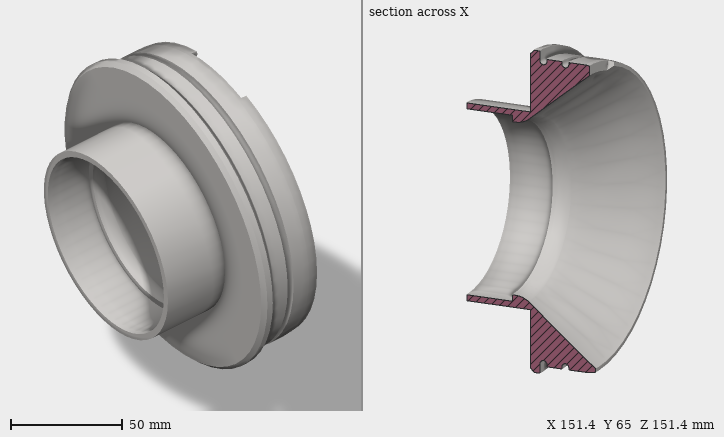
import cadquery as cq
import math

BODY_LENGTH = 33.0
TUBE_LENGTH = 32.0
FLANGE_THICKNESS = 5.0
FLANGE_CHAMFER = 2.0

FLANGE_RADIUS = 151.38 / 2
BODY_RADIUS = 144.38 / 2
TUBE_RADIUS = 93.0 / 2
TUBE_BORE_RADIUS = 87.0 / 2
THROAT_RADIUS = 81.0 / 2
FUNNEL_MOUTH_RADIUS = 69.75

TAPER_LENGTH = 5.0
TAPER_ANGLE = 8.0
TAPER_END_RADIUS = BODY_RADIUS - TAPER_LENGTH * math.tan(math.radians(TAPER_ANGLE))

GROOVE_WIDTH = 3.3
GROOVE_DEPTH = 2.7
GROOVE_PITCH = 11.0
GROOVE_COUNT = 2

SOCKET_DEPTH = 23.0
THROAT_LENGTH = 2.0
FUNNEL_BLEND_RADIUS = 10.0

NOTCH_LENGTH = 3.0
NOTCH_ANGLE = 30.0


def revolve_about_y(profile):
    return profile.close().revolve(360, (0, 0, 0), (0, 1, 0))


def make_outer_body():
    profile = (
        cq.Workplane("XY")
        .moveTo(0, -TUBE_LENGTH)
        .lineTo(TUBE_RADIUS, -TUBE_LENGTH)
        .lineTo(TUBE_RADIUS, 0)
        .lineTo(FLANGE_RADIUS - FLANGE_CHAMFER, 0)
        .lineTo(FLANGE_RADIUS, FLANGE_CHAMFER)
        .lineTo(FLANGE_RADIUS, FLANGE_THICKNESS)
        .lineTo(BODY_RADIUS, FLANGE_THICKNESS)
        .lineTo(BODY_RADIUS, BODY_LENGTH - TAPER_LENGTH)
        .lineTo(TAPER_END_RADIUS, BODY_LENGTH)
        .lineTo(0, BODY_LENGTH)
    )
    return revolve_about_y(profile)


def make_groove(start):
    """Ring cut with a full-round floor, reaching from `start` towards the rear."""
    end = start + GROOVE_WIDTH
    middle = (start + end) / 2
    floor = BODY_RADIUS - GROOVE_DEPTH
    arc_start_radius = floor + GROOVE_WIDTH / 2
    profile = (
        cq.Workplane("XY")
        .moveTo(FLANGE_RADIUS, start)
        .lineTo(arc_start_radius, start)
        .threePointArc((floor, middle), (arc_start_radius, end))
        .lineTo(FLANGE_RADIUS, end)
    )
    return revolve_about_y(profile)


def funnel_half_angle(blend_start):
    """Angle of the cone through the mouth edge that is tangent to the entry blend."""
    radial = THROAT_RADIUS + FUNNEL_BLEND_RADIUS - FUNNEL_MOUTH_RADIUS
    axial = BODY_LENGTH - blend_start
    distance = math.hypot(radial, axial)
    return math.asin(FUNNEL_BLEND_RADIUS / distance) - math.atan2(radial, axial)


def make_bore():
    ledge = SOCKET_DEPTH - TUBE_LENGTH
    blend_start = ledge + THROAT_LENGTH
    half_angle = funnel_half_angle(blend_start)

    def blend_point(angle):
        return (
            THROAT_RADIUS + FUNNEL_BLEND_RADIUS * (1 - math.cos(angle)),
            blend_start + FUNNEL_BLEND_RADIUS * math.sin(angle),
        )

    profile = (
        cq.Workplane("XY")
        .moveTo(0, -TUBE_LENGTH)
        .lineTo(TUBE_BORE_RADIUS, -TUBE_LENGTH)
        .lineTo(TUBE_BORE_RADIUS, ledge)
        .lineTo(THROAT_RADIUS, ledge)
        .lineTo(THROAT_RADIUS, blend_start)
        .threePointArc(blend_point(half_angle / 2), blend_point(half_angle))
        .lineTo(FUNNEL_MOUTH_RADIUS, BODY_LENGTH)
        .lineTo(0, BODY_LENGTH)
    )
    return revolve_about_y(profile)


def make_notch():
    """Sector with radial side walls and a flat floor, cut through the full rim wall."""
    return (
        cq.Workplane("XY")
        .moveTo(0, BODY_LENGTH - NOTCH_LENGTH)
        .lineTo(FLANGE_RADIUS, BODY_LENGTH - NOTCH_LENGTH)
        .lineTo(FLANGE_RADIUS, BODY_LENGTH)
        .lineTo(0, BODY_LENGTH)
        .close()
        .revolve(NOTCH_ANGLE, (0, 0, 0), (0, 1, 0))
        .rotate((0, 0, 0), (0, 1, 0), -90 - NOTCH_ANGLE / 2)
    )


result = make_outer_body()
for groove_index in range(GROOVE_COUNT):
    result = result.cut(make_groove(FLANGE_THICKNESS + groove_index * GROOVE_PITCH))
result = result.cut(make_bore())
result = result.cut(make_notch())